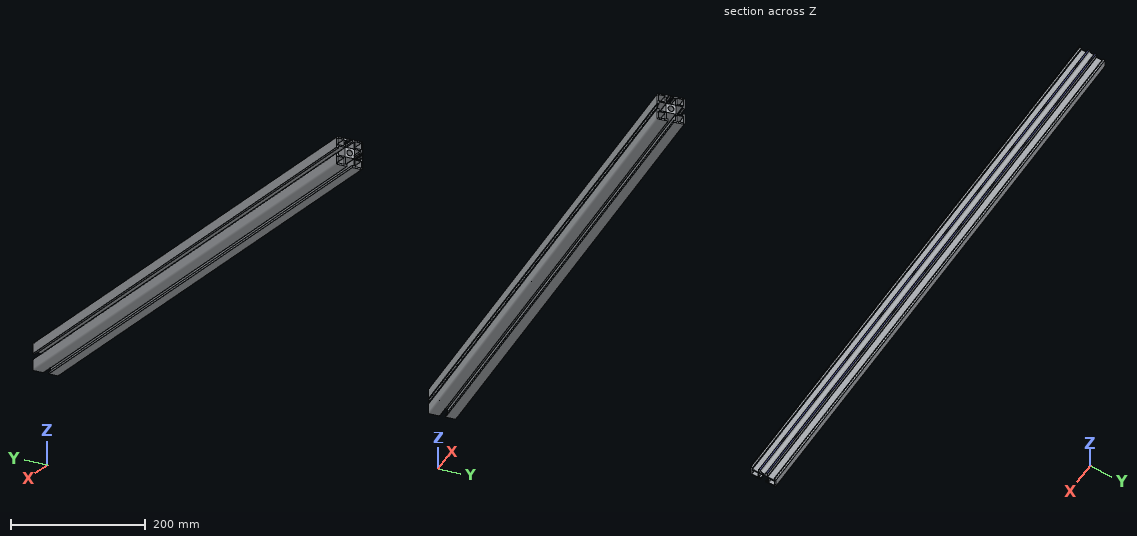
import cadquery as cq

LENGTH = 914.4
SIDE = 45.0
CORNER_RADIUS = 2.5

SLOT_OPENING = 8.9
SLOT_INNER_WIDTH = 14.8
LIP_THICKNESS = 3.6
CORE_SIDE = 15.6

COVER_THICKNESS = 0.5
COVER_RIB_WIDTH = 5.5
COVER_RIB_HEIGHT = 1.0

BORE_DIAMETER = 9.1

HOLLOW_OUTER_WALL = 2.5
HOLLOW_SLOT_WALL = 2.0

HALF_SIDE = SIDE / 2
COVER_UNDERSIDE = HALF_SIDE - COVER_THICKNESS

TO_PLUS_Z = 0
TO_MINUS_Y = 90
TO_MINUS_Z = 180
TO_PLUS_Y = 270
COVERED_SIDES = (TO_PLUS_Z, TO_MINUS_Y)
OPEN_SIDES = (TO_MINUS_Z, TO_PLUS_Y)


def end_plane():
    """YZ workplane on the -X end of the profile."""
    return cq.Workplane("YZ", origin=(-LENGTH / 2, 0, 0))


def prism(points):
    """Closed outline of (y, z) points, extruded along the full length."""
    return end_plane().polyline(points).close().extrude(LENGTH)


def turned(body, angle):
    return body.rotate((0, 0, 0), (1, 0, 0), angle)


def mirrored(points):
    """The (y, z) points mirrored in y and listed in reverse order."""
    return [(-y, z) for y, z in reversed(points)]


def make_bar():
    bar = cq.Workplane("XY").box(LENGTH, SIDE, SIDE)
    return bar.edges("|X").fillet(CORNER_RADIUS)


def make_bore():
    return end_plane().circle(BORE_DIAMETER / 2).extrude(LENGTH)


def slot_half(mouth_top):
    """+Y half of a T-slot outline facing +Z, from the floor up to the mouth."""
    inner = SLOT_INNER_WIDTH / 2
    mouth = SLOT_OPENING / 2
    lip_underside = HALF_SIDE - LIP_THICKNESS
    return [(inner, CORE_SIDE / 2), (inner, lip_underside), (mouth, lip_underside), (mouth, mouth_top)]


def make_open_slot():
    half = slot_half(HALF_SIDE)
    return prism(half + mirrored(half))


def make_covered_slot():
    """T-slot that stops below the thin cover and leaves its V-shaped rib."""
    half = slot_half(COVER_UNDERSIDE) + [(COVER_RIB_WIDTH / 2, COVER_UNDERSIDE)]
    rib_tip = (0, COVER_UNDERSIDE - COVER_RIB_HEIGHT)
    return prism(half + [rib_tip] + mirrored(half))


def make_hollow():
    """Square hollow in the +Y +Z corner."""
    near = SLOT_INNER_WIDTH / 2 + HOLLOW_SLOT_WALL
    far = HALF_SIDE - HOLLOW_OUTER_WALL
    return prism([(near, near), (far, near), (far, far), (near, far)])


result = make_bar().cut(make_bore())
for side in OPEN_SIDES:
    result = result.cut(turned(make_open_slot(), side))
for side in COVERED_SIDES:
    result = result.cut(turned(make_covered_slot(), side))
for side in OPEN_SIDES + COVERED_SIDES:
    result = result.cut(turned(make_hollow(), side))